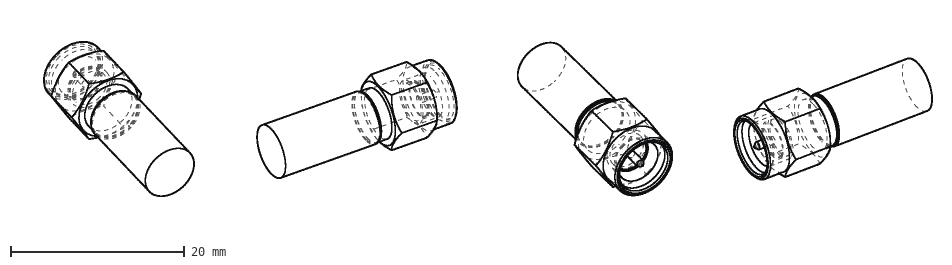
import cadquery as cq
import math

OVERALL_LENGTH = 22.75
HEX_START = 2.8
HEX_END = 8.4
SLEEVE_START = 10.05

COLLAR_RADIUS = 3.9
COLLAR_CHAMFER = 0.2
HEX_ACROSS_FLATS = 8.0
HEX_CHAMFER_RADIUS = 3.9
HEX_CHAMFER_LENGTH = 0.43
NECK_RADIUS = 3.13
GROOVE_WIDTH = 0.25
GROOVE_DEPTH = 0.07
SLEEVE_RADIUS = 3.25

RIM_RADIUS = 3.48
ENTRY_RADIUS = 3.28
ENTRY_CHAMFER = RIM_RADIUS - ENTRY_RADIUS
CONE_START = 0.85
CONE_END = 1.4
SOCKET_RADIUS = 2.68
SOCKET_FLOOR = 4.0

RING_OUTER_RADIUS = 2.28
RING_RIM_RADIUS = 2.12
INSULATOR_RADIUS = 2.05
RING_FACE = 2.93
INSULATOR_RECESS = RING_RIM_RADIUS - INSULATOR_RADIUS
INSULATOR_FACE = RING_FACE + INSULATOR_RECESS
PIN_RADIUS = 0.47
PIN_TIP_RADIUS = 0.1
PIN_START = 0.45
PIN_TIP_LENGTH = 0.45


def revolve_about_axis(points):
    """Revolve a closed (x, radius) profile about the connector axis."""
    return cq.Workplane("XZ").polyline(points).close().revolve(360, (0, 0, 0), (1, 0, 0))


def make_shell():
    """Collar, neck, groove and sleeve as one turned body, before the socket is cut."""
    return revolve_about_axis([
        (0, 0),
        (0, COLLAR_RADIUS - COLLAR_CHAMFER),
        (COLLAR_CHAMFER, COLLAR_RADIUS),
        (HEX_START, COLLAR_RADIUS),
        (HEX_START, NECK_RADIUS),
        (SLEEVE_START - GROOVE_WIDTH, NECK_RADIUS),
        (SLEEVE_START - GROOVE_WIDTH, NECK_RADIUS - GROOVE_DEPTH),
        (SLEEVE_START, NECK_RADIUS - GROOVE_DEPTH),
        (SLEEVE_START, SLEEVE_RADIUS),
        (OVERALL_LENGTH, SLEEVE_RADIUS),
        (OVERALL_LENGTH, 0),
    ])


def make_hex():
    """Wrench hexagon with flats facing +Z and -Z and conically turned corners."""
    corner_radius = HEX_ACROSS_FLATS / math.sqrt(3)
    prism = (
        cq.Workplane("YZ", origin=(HEX_START, 0, 0))
        .polygon(6, 2 * corner_radius)
        .extrude(HEX_END - HEX_START)
    )
    turned_envelope = revolve_about_axis([
        (HEX_START, 0),
        (HEX_START, HEX_CHAMFER_RADIUS),
        (HEX_START + HEX_CHAMFER_LENGTH, corner_radius),
        (HEX_END - HEX_CHAMFER_LENGTH, corner_radius),
        (HEX_END, HEX_CHAMFER_RADIUS),
        (HEX_END, 0),
    ])
    return prism.intersect(turned_envelope)


def make_socket():
    """Stepped cavity that opens at the mating face."""
    return revolve_about_axis([
        (0, 0),
        (0, RIM_RADIUS),
        (ENTRY_CHAMFER, ENTRY_RADIUS),
        (CONE_START, ENTRY_RADIUS),
        (CONE_END, SOCKET_RADIUS),
        (SOCKET_FLOOR, SOCKET_RADIUS),
        (SOCKET_FLOOR, 0),
    ])


def make_contacts():
    """Contact ring, recessed insulator and pointed pin, rising from the socket floor."""
    return revolve_about_axis([
        (PIN_START, 0),
        (PIN_START, PIN_TIP_RADIUS),
        (PIN_START + PIN_TIP_LENGTH, PIN_RADIUS),
        (INSULATOR_FACE, PIN_RADIUS),
        (INSULATOR_FACE, INSULATOR_RADIUS),
        (RING_FACE, RING_RIM_RADIUS),
        (RING_FACE, RING_OUTER_RADIUS),
        (SOCKET_FLOOR, RING_OUTER_RADIUS),
        (SOCKET_FLOOR, 0),
    ])


result = make_shell().union(make_hex()).cut(make_socket()).union(make_contacts())